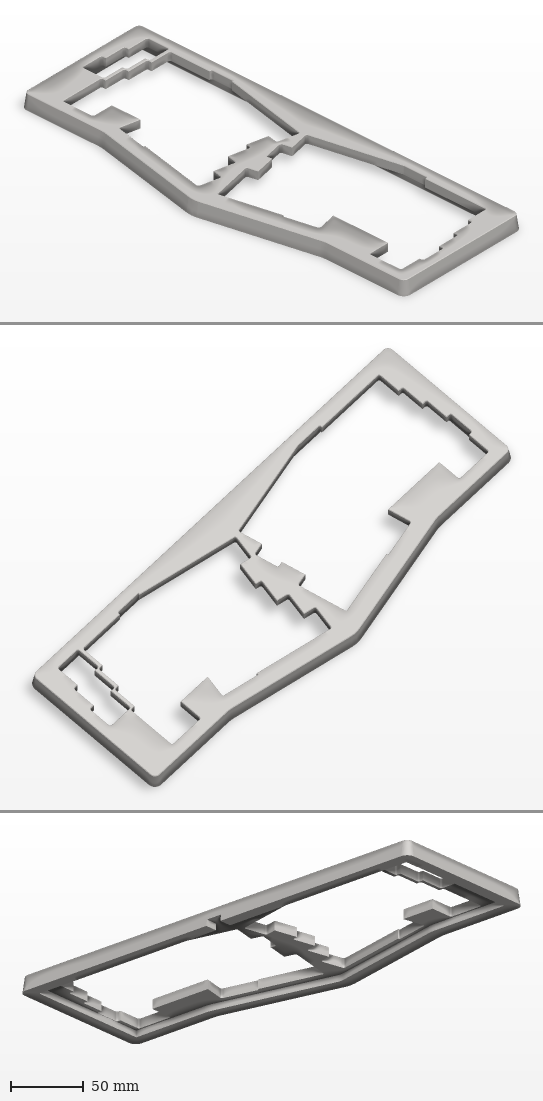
import cadquery as cq
import math

LENGTH = 359.0
HEIGHT = 12.5
REAR_Y = 71.0
FRONT_Y = -49.5
TIP_Y = -71.0
TILT = 12.0
BEND_R = 23.0
CORNER_R = 6.0
TOP_CHAMFER = 0.45
WALL_DRAFT = 8.0

PLATE_T = 7.5
RIM_W = 10.0
PORT_W = 13.0
PORT_H = HEIGHT - PLATE_T

INSIDE_R = 1.5
STAGGER = 4.0
ROW_Y = [39.5, 20.5, 1.5]
REAR_ROW_Y = 58.0
BUMP_Y = 60.3
TAB_Y = -19.0
FOOT_Y = -38.0

KEY = 19.0

LEFT = -1
RIGHT = 1
TILT_COS = math.cos(math.radians(TILT))
TILT_SIN = math.sin(math.radians(TILT))
TILT_TAN = math.tan(math.radians(TILT))


def tilted(side, outward, level):
    """Point in the turned frame of one half: outward from the middle, level toward the rear."""
    x = side * (outward * TILT_COS - level * TILT_SIN)
    y = outward * TILT_SIN + level * TILT_COS
    return (x, y)


def tilted_level_at(side, level, y):
    """Point at y on the turned line of constant level."""
    return tilted(side, (y - level * TILT_COS) / TILT_SIN, level)


def tilted_column_at(side, outward, y):
    """Point at y on the turned line of constant outward distance."""
    return tilted(side, outward, (y - outward * TILT_SIN) / TILT_COS)


def staircase(x, step, ys):
    """Corners of a side that starts at x and shifts by one step at each y."""
    points = []
    for i, y in enumerate(ys):
        points += [(x + i * step, y), (x + (i + 1) * step, y)]
    return points


def tilted_staircase(side, columns, levels):
    """Corners of a turned side that moves from one column to the next at each level."""
    points = []
    for i, level in enumerate(levels):
        points += [tilted(side, columns[i], level), tilted(side, columns[i + 1], level)]
    return points


def rounded_prism(points, radii, height, draft=0.0):
    """Prism on a polygon whose corners are rounded by the matching radii, 0 keeping them sharp."""
    path = []
    for i, corner in enumerate(points):
        here = cq.Vector(*corner)
        back = (cq.Vector(*points[i - 1]) - here).normalized()
        ahead = (cq.Vector(*points[(i + 1) % len(points)]) - here).normalized()
        half_angle = back.getAngle(ahead) / 2
        setback = radii[i] / math.tan(half_angle)
        bulge = radii[i] / math.sin(half_angle) - radii[i]
        middle = here + (back + ahead).normalized() * bulge
        path.append((here + back * setback, middle, here + ahead * setback))
    outline = cq.Workplane("XY").moveTo(*path[-1][2].toTuple()[:2])
    for radius, (start, middle, end) in zip(radii, path):
        outline = outline.lineTo(start.x, start.y)
        if radius > 0:
            outline = outline.threePointArc((middle.x, middle.y), (end.x, end.y))
    return outline.close().extrude(height, taper=draft)


def opening(points):
    """Cutter for points listed counterclockwise, rounding outward corners except at tiny steps."""
    radii = []
    for i, (x, y) in enumerate(points):
        x_before, y_before = points[i - 1]
        x_after, y_after = points[(i + 1) % len(points)]
        turn = (x - x_before) * (y_after - y) - (y - y_before) * (x_after - x)
        shortest = min(math.hypot(x - x_before, y - y_before), math.hypot(x_after - x, y_after - y))
        radii.append(INSIDE_R if turn > 0 and shortest > INSIDE_R + TOP_CHAMFER else 0)
    return rounded_prism(points, radii, HEIGHT)


def outer_body():
    """Drafted block with a shallow central point at the front."""
    tip_y = TIP_Y - BEND_R * (1 / TILT_COS - 1)
    bend_x = (FRONT_Y - tip_y) / TILT_TAN
    points = [
        (LENGTH / 2, REAR_Y),
        (-LENGTH / 2, REAR_Y),
        (-LENGTH / 2, FRONT_Y),
        (-bend_x, FRONT_Y),
        (0, tip_y),
        (bend_x, FRONT_Y),
        (LENGTH / 2, FRONT_Y),
    ]
    radii = [CORNER_R] * 3 + [BEND_R] * 3 + [CORNER_R]
    return rounded_prism(points, radii, HEIGHT, WALL_DRAFT)


def underside_hollow(block):
    """Hollow that leaves a rim of even width below the plate."""
    rim_outline = block.faces("<Z").wires()
    return rim_outline.toPending().offset2D(-RIM_W).extrude(HEIGHT - PLATE_T, combine=False)


def rear_port():
    """Notch through the middle of the rear rim."""
    notch = cq.Workplane("XY").box(PORT_W, 2 * RIM_W, PORT_H, centered=(True, True, False))
    return notch.translate((0, REAR_Y, 0))


def outer_column_opening():
    """Separate staggered column at the far left."""
    left_x = -161.5
    right_x = left_x + 20.0
    front_y = 2.7
    front_shift = -2 * STAGGER
    left_steps = staircase(left_x, -STAGGER, [41.3, 22.3])
    right_steps = staircase(right_x, -STAGGER, [40.5, 21.5])
    return opening(
        [(left_x, BUMP_Y)]
        + left_steps
        + [(left_x + front_shift, front_y), (right_x + front_shift, front_y)]
        + right_steps[::-1]
        + [(right_x, BUMP_Y)]
    )


def left_opening():
    """Main opening of the left half."""
    rear_level = 41.0
    rear_x = -138.5
    front_x = rear_x - 3 * STAGGER
    tab_x = -122.0
    tab_outward = 89.0
    step_outward = 60.0
    front_level = -55.3
    front_step_level = -56.7
    bump_x = -101.5
    bump_end_x = -81.0
    bump_outward = -bump_end_x * TILT_COS + BUMP_Y * TILT_SIN
    first = -3.0
    columns = [first, first + KEY / 2, first + KEY, first + 1.25 * KEY, first + 0.75 * KEY]
    levels = [-35.5, -16.5, 2.5, 21.5]
    return opening(
        [(rear_x, REAR_ROW_Y)]
        + staircase(rear_x, -STAGGER, ROW_Y)
        + [
            (front_x, FOOT_Y),
            (tab_x, FOOT_Y),
            (tab_x, TAB_Y),
            tilted_column_at(LEFT, tab_outward, TAB_Y),
            tilted(LEFT, tab_outward, front_step_level),
            tilted(LEFT, step_outward, front_step_level),
            tilted(LEFT, step_outward, front_level),
            tilted(LEFT, columns[0], front_level),
        ]
        + tilted_staircase(LEFT, columns, levels)
        + [
            tilted(LEFT, columns[-1], rear_level),
            tilted(LEFT, bump_outward, rear_level),
            (bump_end_x, BUMP_Y),
            (bump_x, BUMP_Y),
            (bump_x, REAR_ROW_Y),
        ]
    )


def right_opening():
    """Main opening of the right half."""
    rear_level = 42.7
    rear_x = 157.2
    last_x = rear_x + 3 * STAGGER
    foot_x = 166.0
    tab_x = 136.5
    tab_outward = 79.5
    step_outward = 49.5
    front_level = -53.5
    front_step_level = -55.0
    bump_x = 100.0
    first = -3.2
    columns = [first, first + KEY / 2, first + KEY / 4, first + 0.75 * KEY]
    levels = [-14.5, 4.5, 23.7]
    return opening(
        [tilted(RIGHT, columns[-1], rear_level)]
        + tilted_staircase(RIGHT, columns, levels)[::-1]
        + [
            tilted(RIGHT, columns[0], front_level),
            tilted(RIGHT, step_outward, front_level),
            tilted(RIGHT, step_outward, front_step_level),
            tilted(RIGHT, tab_outward, front_step_level),
            tilted_column_at(RIGHT, tab_outward, TAB_Y),
            (tab_x, TAB_Y),
            (tab_x, FOOT_Y),
            (foot_x, FOOT_Y),
            (foot_x, TAB_Y),
            (last_x, TAB_Y),
        ]
        + staircase(rear_x, STAGGER, ROW_Y)[::-1]
        + [
            (rear_x, REAR_ROW_Y),
            (bump_x, REAR_ROW_Y),
            (bump_x, BUMP_Y),
            tilted_level_at(RIGHT, rear_level, BUMP_Y),
        ]
    )


body = outer_body()
frame = (
    body.cut(underside_hollow(body))
    .cut(rear_port())
    .cut(outer_column_opening())
    .cut(left_opening())
    .cut(right_opening())
)
result = frame.faces(">Z").edges().chamfer(TOP_CHAMFER)